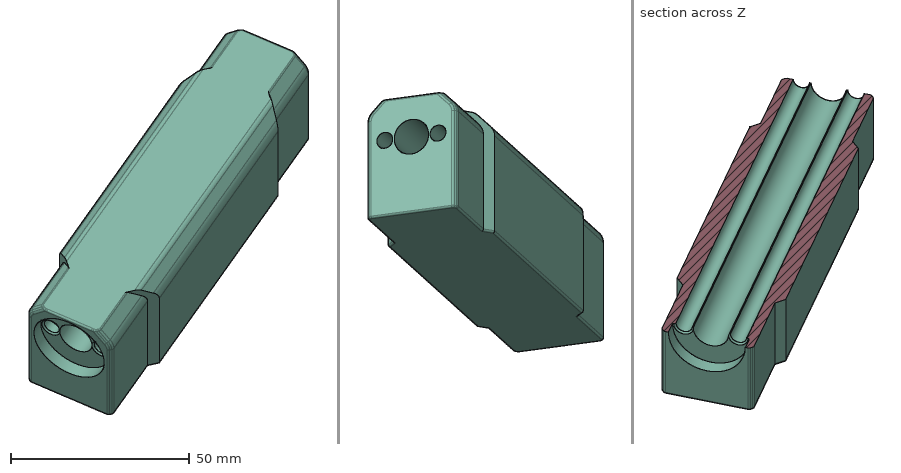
import cadquery as cq

length = 116.0
body_width = 32.0
height = 35.0

bevel = 4.3
wall_blend_radius = 4.2
body_top_radius = 2.0

neck_inset = 2.4
neck_width = body_width - 2 * neck_inset
body_wall_length = 69.2

end_chamfer = 1.0
end_blend_radius = 1.0
rim_radius = 0.6

bore_z = height - 12.3
bore_diameter = 10.3
recess_diameter = 22.5
recess_depth = 4.0
side_hole_diameter = 4.8
countersink_diameter = 5.8
side_hole_offset = 8.0


def beveled_bar(width):
    """Full-length bar with its two upper long edges beveled and blended into the walls."""
    bar = cq.Workplane("XY").box(width, length, height, centered=(True, True, False))
    bar = bar.edges("|Y and >Z").chamfer(bevel)
    wall_top = height - bevel
    bevel_feet = cq.selectors.BoxSelector(
        (-width, -length, wall_top - bevel / 2),
        (width, length, wall_top + bevel / 2),
    )
    return bar.edges("|Y").edges(bevel_feet).fillet(wall_blend_radius)


class EndCornerRims(cq.Selector):
    """Rims of the end corner chamfers: edges in a plane of constant Y that rise in Z."""

    def filter(self, edges):
        boxes = [(edge, edge.BoundingBox()) for edge in edges]
        flatness = end_chamfer / 10
        return [edge for edge, box in boxes if box.ylen < flatness < box.zlen]


def make_neck():
    """Bar of neck width with its end corners and top edges softened."""
    neck = beveled_bar(neck_width)
    neck = neck.faces("<Y or >Y").edges("not ((<Z or >Z) and |X)").chamfer(end_chamfer)
    neck = neck.edges(EndCornerRims()).fillet(end_blend_radius)
    return neck.faces(">Z").edges("|Y").fillet(rim_radius)


def make_body():
    """Wide middle section, trimmed by the vertical shoulder planes."""
    bar = beveled_bar(body_width).edges("|Y and >Z").fillet(body_top_radius)
    wall_x = body_width / 2
    wall_y = body_wall_length / 2
    tip_y = wall_y + wall_x
    plan = [
        (wall_x, -wall_y),
        (wall_x, wall_y),
        (0, tip_y),
        (-wall_x, wall_y),
        (-wall_x, -wall_y),
        (0, -tip_y),
    ]
    return bar.intersect(cq.Workplane("XY").polyline(plan).close().extrude(height))


def bore_cutters():
    """Cutters for the recess at the -Y end, central bore and two countersunk side holes running through."""
    end_face = cq.Workplane("XZ", origin=(0, -length / 2, bore_z))
    recess_floor = end_face.workplane(offset=-recess_depth)
    side_centers = [(-side_hole_offset, 0), (side_hole_offset, 0)]
    countersink_depth = (countersink_diameter - side_hole_diameter) / 2

    recess = end_face.circle(recess_diameter / 2).extrude(-recess_depth)
    bore = end_face.circle(bore_diameter / 2).extrude(-length)
    side_holes = end_face.pushPoints(side_centers).circle(side_hole_diameter / 2).extrude(-length)
    countersinks = (
        recess_floor.pushPoints(side_centers)
        .circle(countersink_diameter / 2)
        .extrude(-countersink_depth, taper=45)
    )
    return [recess, bore, side_holes, countersinks]


result = make_neck().union(make_body())
result = result.faces("<Z").edges().fillet(rim_radius)
for cutter in bore_cutters():
    result = result.cut(cutter)